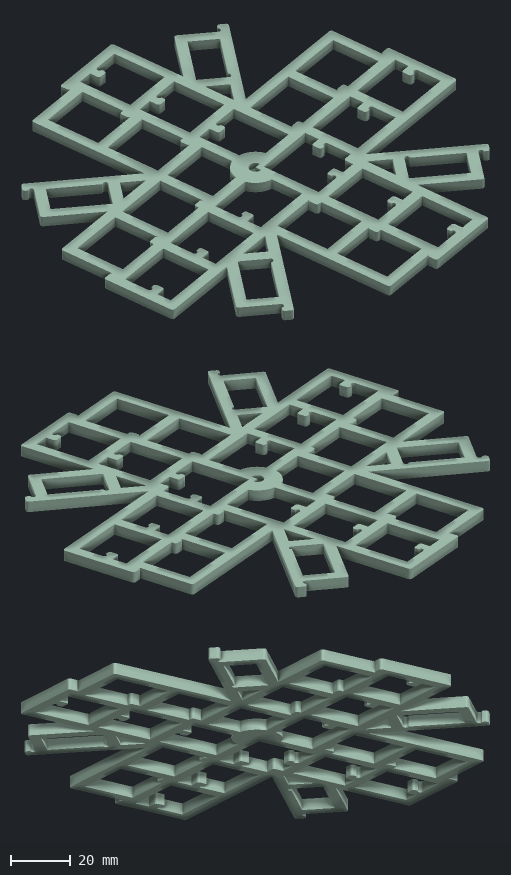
import cadquery as cq
import math

overall_size = 158.0
thickness = 4.0
bar_width = 4.0
corner_radius = 1.0
hook_notch_radius = 1.0
diagonal_panel_depth = 15.0
hub_radius = 8.5
pocket_radius = 2.4
pocket_depth = 2.4
bays_per_arm = 3

half_bar = bar_width / 2
arm_length = overall_size / 2
bay_pitch = (arm_length - bar_width) / bays_per_arm
rail_center = bay_pitch - half_bar
hook_line = rail_center / 2
diagonal_start = rail_center * math.sqrt(2)


def plate(x_min, x_max, y_min, y_max):
    """Full-thickness rectangle with rounded corners."""
    return (
        cq.Workplane("XY")
        .box(x_max - x_min, y_max - y_min, thickness, centered=False)
        .translate((x_min, y_min, 0))
        .edges("|Z")
        .fillet(corner_radius)
    )


def disk(x, y, radius):
    return cq.Workplane("XY").center(x, y).circle(radius).extrude(thickness)


def hook(root_y, side):
    """Square hook hanging from a rung, on one side of the hook line and notched at its root on that line."""
    center_x = hook_line + side * half_bar
    body = plate(center_x - half_bar, center_x + half_bar, root_y - bar_width, root_y + half_bar)
    return body.cut(disk(hook_line, root_y - hook_notch_radius, hook_notch_radius))


def straight_arm(hook_side):
    """Arm along +Y: a long column of bays on the +X side and a shorter one on the -X side of the spine."""
    rail_start = rail_center - half_bar
    arm = plate(-half_bar, half_bar, -half_bar, arm_length)
    arm = arm.union(plate(rail_start, bay_pitch, rail_start, arm_length))
    arm = arm.union(plate(-bay_pitch, -rail_start, rail_start, arm_length - bar_width))
    for bay in range(1, bays_per_arm + 1):
        bay_end = bay * bay_pitch
        arm = arm.union(plate(-bar_width, bay_pitch, bay_end, bay_end + bar_width))
        arm = arm.union(plate(-bay_pitch, half_bar, bay_end - bar_width, bay_end))
        arm = arm.union(hook(bay_end, hook_side))
    return arm


def diagonal_panel():
    """Panel at 45 degrees between the +X and +Y arms, ending at the +X arm's upper rail."""
    outer_edge = -diagonal_panel_depth - half_bar
    panel_end = bays_per_arm * bay_pitch
    panel = plate(diagonal_start, arm_length, -half_bar, half_bar)
    panel = panel.union(plate(diagonal_start, panel_end, outer_edge, outer_edge + bar_width))
    for bay in range(2, bays_per_arm + 1):
        bay_end = bay * bay_pitch
        panel = panel.union(plate(bay_end - bar_width, bay_end, outer_edge, half_bar))
    for bay in range(2, bays_per_arm + 1):
        notch_x = bay * bay_pitch + hook_notch_radius
        panel = panel.cut(disk(notch_x, -half_bar, hook_notch_radius))
    panel = panel.rotate((0, 0, 0), (0, 0, 1), 45)
    beyond_rail = (
        cq.Workplane("XY")
        .box(overall_size, overall_size, thickness, centered=(True, False, False))
        .translate((0, rail_center, 0))
    )
    return panel.intersect(beyond_rail)


def hub():
    """Center disk without the +X +Y quadrant, which stays an open bay."""
    open_quadrant = cq.Workplane("XY").box(hub_radius, hub_radius, thickness, centered=False)
    return disk(0, 0, hub_radius).cut(open_quadrant)


def hub_pocket():
    """Three-quarter round pocket in the top face of the hub."""
    key = cq.Workplane("XY").box(pocket_radius, pocket_radius, thickness, centered=False)
    pocket = disk(0, 0, pocket_radius).cut(key)
    return pocket.translate((0, 0, thickness - pocket_depth))


near_arm = straight_arm(-1)
far_arm = straight_arm(1)
arms = [
    near_arm,
    near_arm.rotate((0, 0, 0), (0, 0, 1), 90),
    far_arm.mirror("XZ"),
    far_arm.rotate((0, 0, 0), (0, 0, 1), 90).mirror("YZ"),
]

upper_panel = diagonal_panel()
lower_panel = upper_panel.rotate((0, 0, 0), (0, 0, 1), -90)
panels = [upper_panel, lower_panel, upper_panel.mirror("YZ"), lower_panel.mirror("YZ")]

frame = hub()
for member in arms + panels:
    frame = frame.union(member)

result = frame.cut(hub_pocket())